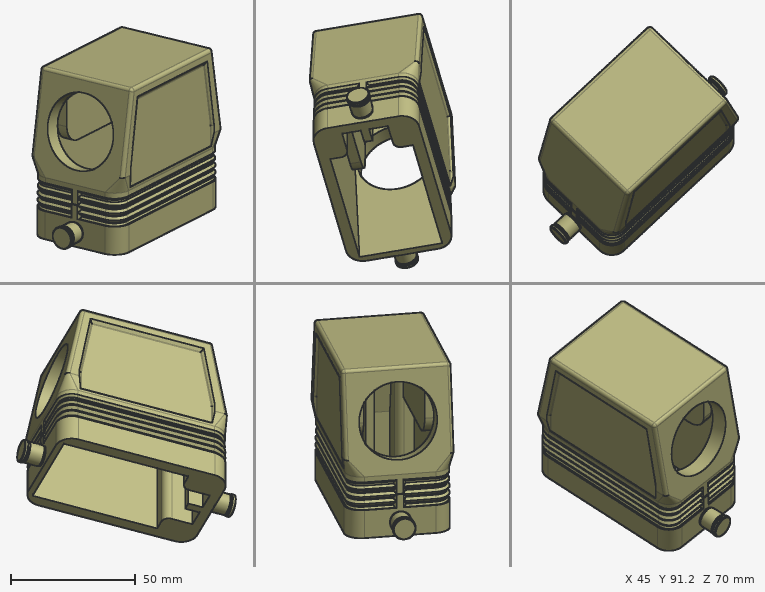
import cadquery as cq
import math

hood_width = 45.0
total_height = 70.0
pin_span = 91.19

base_half_x = 21.65
base_half_y = 36.5
base_corner_radius = 7.0
base_height = 12.07
band_inset = 0.25
band_bottom = 24.1
band_top = 26.5

groove_depth = 1.2
rib_tip_inset = 0.05
rib_flat = 0.5
groove_heights = [13.3, 16.3, 19.3]
lower_rib_heights = [14.85, 17.85]
top_rib_height = 20.9
top_groove_bottom = 22.2
top_groove_top = 23.1
first_groove_start_inset = 0.6
strip_half_width = 1.4

flare_top = 33.5
top_half_y = 28.4
hood_edge_radius = 1.5
band_half_y = base_half_y - band_inset
end_slope = (band_half_y - top_half_y) / (total_height - band_top)
end_tilt = math.degrees(math.atan(end_slope))

panel_depth = 1.1
panel_bottom = 27.7
panel_shoulder = 36.6
panel_top = 64.0
panel_top_half_y = 23.5
panel_half_y = 28.3
panel_top_slope_run = 1.5
panel_side_slope_run = 1.0
panel_floor_radius = 0.4

entry_radius = 16.0
entry_height = 48.0
entry_reach = 12.0

cavity_half_x = 17.0
ceiling = 66.0
entry_wall = 7.2
far_wall = 4.0
thick_wall_inner_x = 12.5
thick_wall_bottom = 37.0
thick_wall_corner_radius = 8.0
thick_wall_face_y = -24.0
column_inner_x = 9.4
column_face_y = 20.0
column_edge_radius = 3.2
inner_rib_width = 3.4
inner_rib_top = 45.3
inner_rib_face_y = 26.0

pin_height = 6.4
pin_radius = 4.4
pin_neck_radius = 4.15
pin_flange_radius = 4.65
pin_flange_length = 1.4
pin_neck_length = 0.4
pin_taper_length = 0.6
pin_flange_chamfer = 0.3
pin_embedment = 1.0
pin_root_length = 0.8


def end_y(z):
    """Half length of the hood at height z."""
    return band_half_y - end_slope * (z - band_top)


def base_outline(inset):
    """Base outline moved inwards by inset."""
    return (
        cq.Sketch()
        .rect(2 * (base_half_x - inset), 2 * (base_half_y - inset))
        .vertices()
        .fillet(base_corner_radius - inset)
    )


def ruled_loft(lower, lower_z, upper, upper_z):
    """Straight-sided solid between two sketches at two heights."""
    upper = upper.moved(cq.Location(cq.Vector(0, 0, upper_z - lower_z)))
    return cq.Workplane("XY", origin=(0, 0, lower_z)).placeSketch(lower, upper).loft(ruled=True)


def flat(height, inset):
    """Lower and upper corner of a short flat centred on a height."""
    return [(height - rib_flat / 2, inset), (height + rib_flat / 2, inset)]


def make_rib_profile():
    """Heights and insets from the base outline, going up."""
    profile = [(base_height, first_groove_start_inset)]
    for groove_height, rib_height in zip(groove_heights, lower_rib_heights):
        profile += flat(groove_height, groove_depth)
        profile.append((rib_height, rib_tip_inset))
    profile += flat(groove_heights[-1], groove_depth)
    profile += flat(top_rib_height, band_inset)
    profile.append((top_groove_bottom, groove_depth))
    profile.append((top_groove_top, groove_depth))
    profile.append((band_bottom, band_inset))
    return profile


def make_lower_body():
    body = cq.Workplane("XY").placeSketch(base_outline(0)).extrude(base_height)
    rib_profile = make_rib_profile()
    for (low_z, low_inset), (high_z, high_inset) in zip(rib_profile, rib_profile[1:]):
        layer = ruled_loft(base_outline(low_inset), low_z, base_outline(high_inset), high_z)
        body = body.union(layer)
    band = (
        cq.Workplane("XY", origin=(0, 0, band_bottom))
        .placeSketch(base_outline(band_inset))
        .extrude(band_top - band_bottom)
    )
    upper_strip = make_end_strip(band_half_y, base_height, band_bottom)
    lower_strip = make_end_strip(base_half_y, base_height, lower_rib_heights[-1])
    strip = upper_strip.union(lower_strip)
    return body.union(band).union(strip).union(strip.mirror("XZ"))


def make_end_strip(face_y, bottom, top):
    """Upright strip on the +Y end, with flanks sloping down into the grooves."""
    root_y = base_half_y - 2 * groove_depth
    root_half_width = strip_half_width + face_y - root_y
    outline = [
        (-strip_half_width, face_y),
        (strip_half_width, face_y),
        (root_half_width, root_y),
        (-root_half_width, root_y),
    ]
    strip = cq.Workplane("XY", origin=(0, 0, bottom)).polyline(outline).close()
    return strip.extrude(top - bottom)


def make_hood():
    outline = [
        (-end_y(flare_top), flare_top),
        (end_y(flare_top), flare_top),
        (top_half_y, total_height),
        (-top_half_y, total_height),
    ]
    hood = cq.Workplane("YZ").polyline(outline).close().extrude(hood_width / 2, both=True)
    hood = hood.faces("not <Z").edges("not <Z").fillet(hood_edge_radius)
    flare_outline = (
        cq.Sketch().rect(hood_width, 2 * end_y(flare_top)).vertices().fillet(hood_edge_radius)
    )
    return hood.union(ruled_loft(base_outline(band_inset), band_top, flare_outline, flare_top))


def panel_outline(plane, top_run, side_run):
    """Recess outline, spread outwards by the two border runs."""
    wide = panel_half_y + side_run
    narrow = panel_top_half_y + side_run
    return plane.polyline([
        (-wide, panel_bottom),
        (wide, panel_bottom),
        (wide, panel_shoulder),
        (narrow, panel_top + top_run),
        (-narrow, panel_top + top_run),
        (-wide, panel_shoulder),
    ]).close()


def make_panel_recess():
    """Cutter for the +X side: small at its floor, larger at the hood surface."""
    floor = cq.Workplane("YZ", origin=(hood_width / 2 - panel_depth, 0, 0))
    cutter = panel_outline(floor, 0, 0).workplane(offset=panel_depth)
    cutter = panel_outline(cutter, panel_top_slope_run, panel_side_slope_run).loft(ruled=True)
    return cutter.faces("<X").edges("not <Z").fillet(panel_floor_radius)


def side_block(inner_x, face_y, bottom):
    """Block along the +X cavity wall, running from face_y to the far end."""
    return cq.Workplane("XY").box(
        cavity_half_x - inner_x,
        base_half_y - face_y,
        ceiling - bottom,
        centered=False,
    ).translate((inner_x, face_y, bottom))


def make_thick_wall():
    """Thickened upper wall on +X, with the full-height column at its far end."""
    wall = side_block(thick_wall_inner_x, thick_wall_face_y, thick_wall_bottom)
    wall = wall.edges("|X and <Y and <Z").fillet(thick_wall_corner_radius)
    column = side_block(column_inner_x, column_face_y, 0)
    column = column.edges("|Z and <X and <Y").fillet(column_edge_radius)
    return wall.union(column)


def make_cavity(thick_walls):
    outline = [
        (entry_wall - end_y(0), 0),
        (end_y(band_top) - far_wall, 0),
        (end_y(band_top) - far_wall, band_top),
        (end_y(ceiling) - far_wall, ceiling),
        (entry_wall - end_y(ceiling), ceiling),
        (entry_wall - end_y(band_top), band_top),
    ]
    cavity = cq.Workplane("YZ").polyline(outline).close().extrude(cavity_half_x, both=True)
    inner_rib = cq.Workplane("XY").box(
        inner_rib_width,
        base_half_y - inner_rib_face_y,
        inner_rib_top,
        centered=(True, False, False),
    ).translate((0, inner_rib_face_y, 0))
    return cavity.cut(thick_walls).cut(inner_rib)


def make_cable_entry(thick_walls):
    """Round bore square to the tilted -Y end, stopping flat at the thick walls."""
    bore = (
        cq.Workplane("XZ")
        .circle(entry_radius)
        .extrude(entry_reach, both=True)
        .rotate((0, 0, 0), (1, 0, 0), -end_tilt)
        .translate((0, -end_y(entry_height), entry_height))
    )
    return bore.cut(thick_walls)


def make_pin():
    """Locking pin on the +Y end, turned about its own axis."""
    tip = pin_span / 2
    flange_start = tip - pin_flange_length
    neck_start = flange_start - pin_neck_length
    shaft_end = neck_start - pin_taper_length
    root_y = base_half_y - pin_embedment
    profile = [
        (0, root_y),
        (pin_neck_radius, root_y),
        (pin_neck_radius, base_half_y + pin_root_length / 2),
        (pin_radius, base_half_y + pin_root_length),
        (pin_radius, shaft_end),
        (pin_neck_radius, neck_start),
        (pin_neck_radius, flange_start),
        (pin_flange_radius, flange_start),
        (pin_flange_radius, tip - pin_flange_chamfer),
        (pin_flange_radius - pin_flange_chamfer, tip),
        (0, tip),
    ]
    pin = cq.Workplane("XY").polyline(profile).close().revolve(360, (0, 0, 0), (0, 1, 0))
    return pin.translate((0, 0, pin_height))


panel_recess = make_panel_recess()
thick_wall = make_thick_wall()
thick_walls = thick_wall.union(thick_wall.mirror("YZ"))
pin = make_pin()

result = make_lower_body().union(make_hood())
result = result.cut(panel_recess).cut(panel_recess.mirror("YZ"))
result = result.cut(make_cavity(thick_walls)).cut(make_cable_entry(thick_walls))
result = result.union(pin).union(pin.mirror("XZ"))